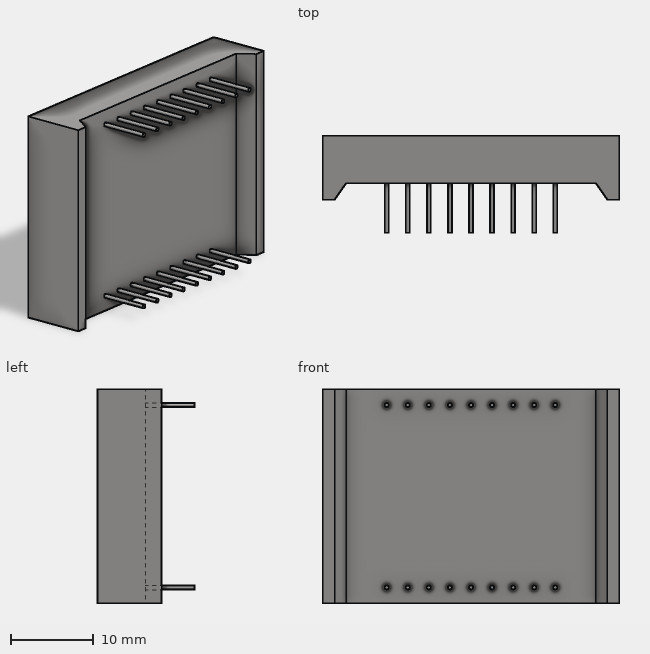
import cadquery as cq

width = 35.8
height = 25.85
overall_depth = 11.75
housing_depth = 7.77
floor_depth = 5.75
foot_width = 1.43
slope_width = 1.4

pin_diameter = 0.5
pin_pitch = 2.55
pins_per_row = 9
row_spacing = 22.0
pin_embed = 0.35


def make_housing():
    """Block with a full-height trapezoidal channel in its -Y face."""
    half_width = width / 2
    foot_edge = half_width - foot_width
    floor_edge = foot_edge - slope_width
    profile = [
        (-half_width, 0),
        (half_width, 0),
        (half_width, -housing_depth),
        (foot_edge, -housing_depth),
        (floor_edge, -floor_depth),
        (-floor_edge, -floor_depth),
        (-foot_edge, -housing_depth),
        (-half_width, -housing_depth),
    ]
    return cq.Workplane("XY").polyline(profile).close().extrude(height / 2, both=True)


def make_pins():
    """Two rows of round pins that point toward -Y."""
    pin_length = overall_depth - floor_depth + pin_embed
    return (
        cq.Workplane("XZ", origin=(0, pin_embed - floor_depth, 0))
        .rarray(pin_pitch, row_spacing, pins_per_row, 2)
        .circle(pin_diameter / 2)
        .extrude(pin_length)
    )


result = make_housing().union(make_pins())